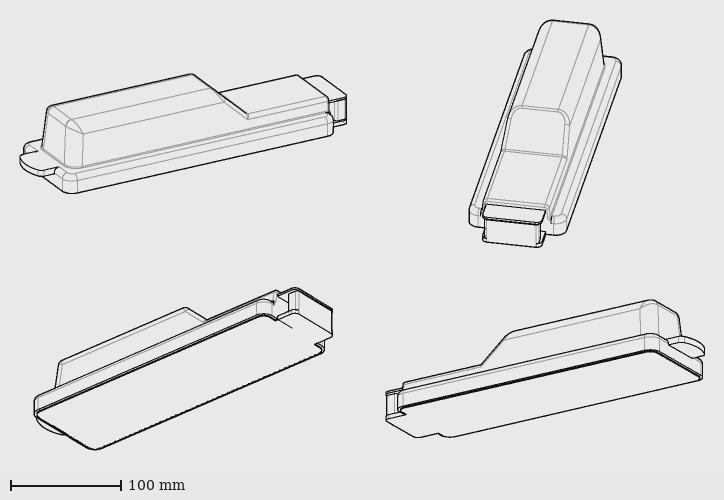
import cadquery as cq
import math

overall_length = 320.0
rear_end = overall_length / 2
front_end = -overall_length / 2

flange_width = 90.0
flange_length = 279.5
flange_corner_radius = 10.0
flange_top_radius = 5.0
flange_top = 18.5
rear_overhang = 21.5
flange_rear = rear_end - rear_overhang
flange_front = flange_rear - flange_length
flange_center = (flange_rear + flange_front) / 2

plate_thickness = 1.0
plate_inset = 2.5
plate_corner_radius = flange_corner_radius - plate_inset

dome_width = 63.0
dome_front = flange_front + 10.5
dome_top = 61.0
dome_draft = 5.0
dome_corner_radius = 12.0
dome_front_radius = 6.0
dome_foot_radius = 1.0

roof_top = 32.0
ramp_foot = flange_rear - 83.5
ramp_head = ramp_foot - 31.0
roof_edge_radius = 4.0
ramp_foot_radius = 3.0
rear_edge_radius = 2.0

tab_width = 40.0
tab_thickness = 6.0
tab_tip_radius = 40.0
tab_corner_radius = 5.0

handle_width = 55.0
handle_corner_radius = 5.0
upper_tab_top = 27.0
upper_tab_thickness = 2.0
tongue_thickness = 4.0
post_width = 50.0
post_depth = 12.0
post_corner_radius = 2.3
post_gap = 0.8


def make_flange():
    """Rounded slab with a rounded upper rim."""
    return (
        cq.Workplane("XY", origin=(0, flange_center, plate_thickness))
        .rect(flange_width, flange_length)
        .extrude(flange_top - plate_thickness)
        .edges("|Z")
        .fillet(flange_corner_radius)
        .faces(">Z")
        .edges()
        .fillet(flange_top_radius)
    )


def make_dome():
    """Drafted hood with a flat rear end, a lowered rear roof and a ramp."""
    rise = dome_top - flange_top
    draft_shift = rise * math.tan(math.radians(dome_draft))
    block_length = flange_rear + draft_shift - dome_front
    block_center = dome_front + block_length / 2
    dome = (
        cq.Workplane("XY", origin=(0, block_center, flange_top))
        .rect(dome_width, block_length)
        .extrude(rise, taper=dome_draft)
    )
    rear_face = cq.Workplane("XZ", origin=(0, flange_rear, 0))
    dome = dome.cut(rear_face.rect(2 * flange_width, 4 * dome_top).extrude(-2 * draft_shift))

    front_corners = dome.faces("<Y").edges("not(|X)")
    roof_sides = dome.faces(">Z").edges("|Y")
    dome = dome.newObject(front_corners.vals() + roof_sides.vals()).fillet(dome_corner_radius)
    dome = dome.faces(">Z").edges("<Y").fillet(dome_front_radius)

    notch = (
        cq.Workplane("YZ")
        .moveTo(flange_rear, roof_top)
        .lineTo(ramp_foot, roof_top)
        .lineTo(ramp_head, dome_top)
        .lineTo(flange_rear, dome_top)
        .close()
        .extrude(flange_width / 2, both=True)
    )
    dome = dome.cut(notch)

    ramp_middle = (0, (ramp_foot + ramp_head) / 2, (roof_top + dome_top) / 2)
    ramp_edges = dome.faces(cq.NearestToPointSelector(ramp_middle)).edges("not(|X)")
    roof_middle = (0, (flange_rear + ramp_foot) / 2, roof_top)
    low_roof_edges = dome.faces(cq.NearestToPointSelector(roof_middle)).edges("not(|X)")
    dome = dome.newObject(ramp_edges.vals() + low_roof_edges.vals()).fillet(roof_edge_radius)

    foot_line = cq.NearestToPointSelector((0, ramp_foot, roof_top))
    return dome.edges("|X").edges(foot_line).fillet(ramp_foot_radius)


def make_cover():
    """Flange, dome, front pull tab and upper rear tab as one body."""
    rear_fill = (
        cq.Workplane("XY", origin=(0, flange_rear - flange_corner_radius, plate_thickness))
        .rect(dome_width + 2 * dome_foot_radius, 2 * flange_corner_radius)
        .extrude(flange_top - plate_thickness)
    )
    cover = make_flange().union(rear_fill).union(make_dome())
    cover = cover.edges(dome_foot_edges()).fillet(dome_foot_radius)
    cover = cover.edges(dome_rear_edges()).fillet(rear_edge_radius)
    return cover.union(make_front_tab()).union(make_upper_tab())


def dome_foot_edges():
    """Box around the line where the dome sides and front meet the flange, up to the rear end."""
    half_width = dome_width / 2 + 0.1
    low_corner = (-half_width, dome_front - 0.1, flange_top - 0.1)
    high_corner = (half_width, flange_rear, flange_top + 0.1)
    return cq.selectors.BoxSelector(low_corner, high_corner)


def dome_rear_edges():
    """Box around the outline of the rear dome end, from above its foot to the low roof."""
    half_width = dome_width / 2
    low_corner = (-half_width, flange_rear - 0.1, flange_top + dome_foot_radius)
    high_corner = (half_width, flange_rear + 0.1, roof_top + 0.1)
    return cq.selectors.BoxSelector(low_corner, high_corner)


def make_front_tab():
    """Pull tab level with the flange top, with a bowed tip."""
    root = flange_front + flange_corner_radius
    half_width = tab_width / 2
    tip_rise = tab_tip_radius - math.sqrt(tab_tip_radius**2 - half_width**2)
    tip_corner = front_end + tip_rise
    return (
        cq.Workplane("XY", origin=(0, 0, flange_top - tab_thickness))
        .moveTo(-half_width, root)
        .lineTo(-half_width, tip_corner)
        .threePointArc((0, front_end), (half_width, tip_corner))
        .lineTo(half_width, root)
        .close()
        .extrude(tab_thickness)
        .edges("|Z and (not >Y)")
        .fillet(tab_corner_radius)
    )


def make_handle_plate(bottom, thickness, front):
    """Flat plate that reaches from the given front edge to the rounded rear end of the handle."""
    return (
        cq.Workplane("XY", origin=(0, (rear_end + front) / 2, bottom))
        .rect(handle_width, rear_end - front)
        .extrude(thickness)
        .edges("|Z and >Y")
        .fillet(handle_corner_radius)
    )


def make_upper_tab():
    """Thin tab that sticks out of the cover above the post."""
    return make_handle_plate(upper_tab_top - upper_tab_thickness, upper_tab_thickness, flange_rear)


def make_base():
    """Base plate with a rear tongue that carries the upright post."""
    plate = (
        cq.Workplane("XY", origin=(0, flange_center, 0))
        .rect(flange_width - 2 * plate_inset, flange_length - 2 * plate_inset)
        .extrude(plate_thickness)
        .edges("|Z")
        .fillet(plate_corner_radius)
    )
    under_cover = make_handle_plate(0, plate_thickness, flange_rear - flange_corner_radius)
    tongue = make_handle_plate(0, tongue_thickness, flange_rear)
    post_top = upper_tab_top - upper_tab_thickness - post_gap
    post = (
        cq.Workplane("XY", origin=(0, rear_end - post_depth / 2, 0))
        .rect(post_width, post_depth)
        .extrude(post_top)
        .edges("|Z")
        .fillet(post_corner_radius)
    )
    return plate.union(under_cover).union(tongue).union(post)


cover = make_cover()
base = make_base()
result = cq.Compound.makeCompound([cover.val(), base.val()])